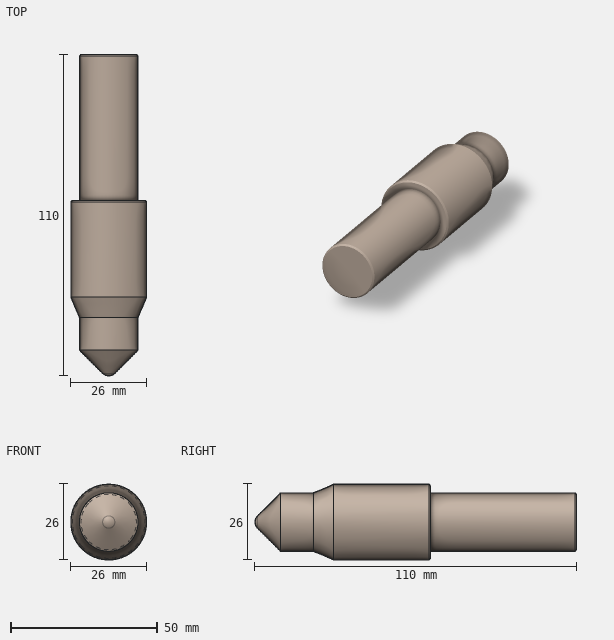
import cadquery as cq
import math

total_length = 110.0
body_radius = 10.0
collar_radius = 13.0
shank_length = 49.9
collar_length = 33.1
taper_angle = 23.0
cone_half_angle = 45.0
tip_radius = 3.0
edge_chamfer = 0.5

tail_y = total_length / 2
tip_y = -total_length / 2
shoulder_y = tail_y - shank_length
taper_start_y = shoulder_y - collar_length
taper_length = (collar_radius - body_radius) / math.tan(math.radians(taper_angle))
taper_end_y = taper_start_y - taper_length

half_angle = math.radians(cone_half_angle)
ball_centre_y = tip_y + tip_radius


def nose_point(angle):
    """Point (radius, y) on the ball nose, at an angle measured from the tip."""
    return (tip_radius * math.sin(angle), ball_centre_y - tip_radius * math.cos(angle))


tangent_angle = math.pi / 2 - half_angle
tangent_radius, tangent_y = nose_point(tangent_angle)
cone_start_y = tangent_y + (body_radius - tangent_radius) / math.tan(half_angle)

result = (
    cq.Workplane("XY")
    .moveTo(0, tail_y)
    .lineTo(body_radius - edge_chamfer, tail_y)
    .lineTo(body_radius, tail_y - edge_chamfer)
    .lineTo(body_radius, shoulder_y)
    .lineTo(collar_radius - edge_chamfer, shoulder_y)
    .lineTo(collar_radius, shoulder_y - edge_chamfer)
    .lineTo(collar_radius, taper_start_y)
    .lineTo(body_radius, taper_end_y)
    .lineTo(body_radius, cone_start_y)
    .lineTo(tangent_radius, tangent_y)
    .threePointArc(nose_point(tangent_angle / 2), (0, tip_y))
    .close()
    .revolve(360, (0, 0, 0), (0, 1, 0))
)